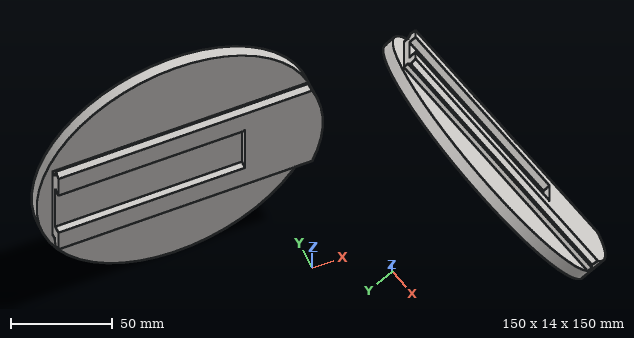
import cadquery as cq

plate_diameter = 150.0
plate_thickness = 6.3

total_depth = 14.0
neck_depth = 9.0
lip_depth = 10.8
neck_width = 51.0
lip_width = 61.8
front_width = 57.6
rail_start_x = -66.6

pocket_width = 30.3
pocket_depth = 4.0
pocket_end_x = 33.3


def disc(depth):
    """Cylinder of the plate diameter, from the back face toward -Y."""
    return cq.Workplane("XZ").circle(plate_diameter / 2).extrude(depth)


def dovetail_rail():
    """Flared rail along X, trimmed to the round edge of the plate."""
    right_half = [
        (neck_width / 2, 0),
        (neck_width / 2, -neck_depth),
        (lip_width / 2, -lip_depth),
        (front_width / 2, -total_depth),
    ]
    left_half = [(-z, y) for z, y in reversed(right_half)]
    section = cq.Plane(origin=(rail_start_x, 0, 0), xDir=(0, 0, 1), normal=(-1, 0, 0))
    rail_length = plate_diameter / 2 - rail_start_x
    rail = cq.Workplane(section).polyline(right_half + left_half).close().extrude(-rail_length)
    return rail.intersect(disc(total_depth))


def pocket():
    """Rectangular recess running in from the left end of the rail."""
    return cq.Workplane("XY").box(
        pocket_end_x - rail_start_x, pocket_depth, pocket_width, centered=(False, False, True)
    ).translate((rail_start_x, -total_depth, 0))


result = disc(plate_thickness).union(dovetail_rail()).cut(pocket())